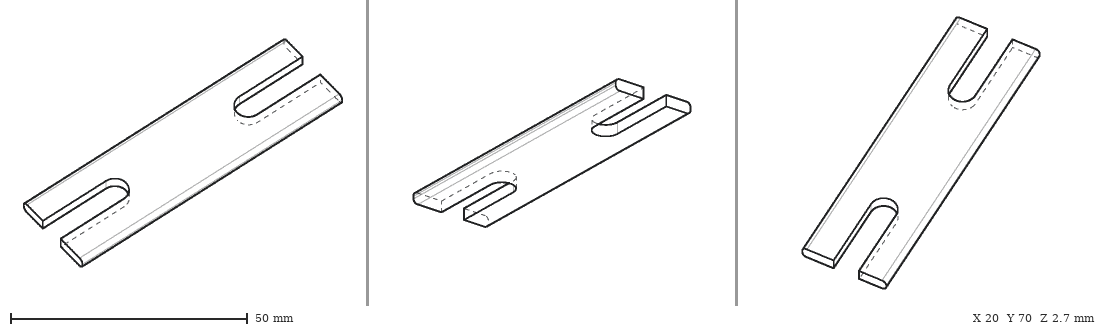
import cadquery as cq

length = 70.0
width = 20.0
thickness = 2.7
edge_radius = 1.05

slot_width = 6.0
slot_depth = 20.0
slot_offset_x = -0.5


def rounded_plate():
    """Flat bar along Y with its four long edges rounded."""
    plate = cq.Workplane("XY").box(width, length, thickness)
    return plate.edges("|Y").fillet(edge_radius)


def end_slot(end):
    """Cutter for the round-bottomed slot at the +Y (end=1) or -Y (end=-1) end."""
    return (
        cq.Workplane("XY")
        .center(slot_offset_x, end * length / 2)
        .slot2D(2 * slot_depth, slot_width, 90)
        .extrude(thickness, both=True)
    )


result = rounded_plate()
for end in (-1, 1):
    result = result.cut(end_slot(end))